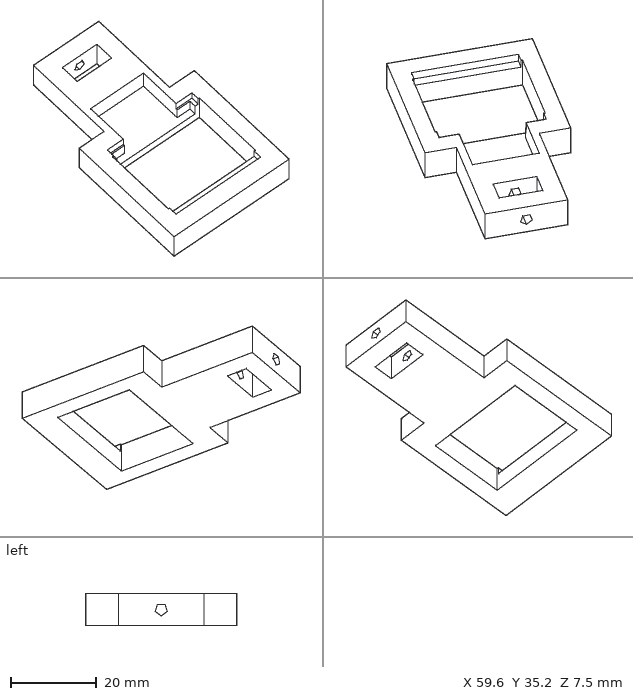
import cadquery as cq
import math

LENGTH = 59.6
WIDTH = 35.2
HEIGHT = 7.5
TONGUE_LENGTH = 25.45
TONGUE_WIDTH = 20.0

OPENING_START = 32.35
OPENING_END = 52.5
OPENING_WIDTH = 26.6

SEAT_START = 30.1
SEAT_END = 54.85
SEAT_WIDTH = 25.85
SEAT_DEPTH = 2.0

STEP_START = 30.5
STEP_WIDTH = 23.95

CHANNEL_START = 18.35
CHANNEL_WIDTH = 16.15
CHANNEL_DEPTH = 5.0

WINDOW_START = 4.9
WINDOW_END = 10.2
WINDOW_WIDTH = 10.55

HOLE_RADIUS = 1.5
HOLE_SIDES = 5
HOLE_END = (WINDOW_END + CHANNEL_START) / 2


def block(x_start, x_end, width, z_bottom=0.0):
    """Box centred on Y = 0, from z_bottom up to the top face."""
    return cq.Workplane("XY").box(
        x_end - x_start, width, HEIGHT - z_bottom, centered=(False, True, False)
    ).translate((x_start, 0, z_bottom))


def pentagon_hole():
    """Pentagonal prism along X at mid height, with one corner pointing down."""
    corners = []
    for i in range(HOLE_SIDES):
        angle = 2 * math.pi * i / HOLE_SIDES - math.pi / 2
        corners.append((HOLE_RADIUS * math.cos(angle), HOLE_RADIUS * math.sin(angle)))
    prism = cq.Workplane("YZ").polyline(corners).close().extrude(HOLE_END)
    return prism.translate((0, 0, HEIGHT / 2))


tongue = block(0, TONGUE_LENGTH, TONGUE_WIDTH)
frame = block(TONGUE_LENGTH, LENGTH, WIDTH)

opening = block(OPENING_START, OPENING_END, OPENING_WIDTH)
seat = block(SEAT_START, SEAT_END, SEAT_WIDTH, HEIGHT - SEAT_DEPTH)
step = block(STEP_START, OPENING_END, STEP_WIDTH, HEIGHT - CHANNEL_DEPTH)
channel = block(CHANNEL_START, OPENING_END, CHANNEL_WIDTH, HEIGHT - CHANNEL_DEPTH)
window = block(WINDOW_START, WINDOW_END, WINDOW_WIDTH)

result = tongue.union(frame)
for cutter in (opening, seat, step, channel, window, pentagon_hole()):
    result = result.cut(cutter)